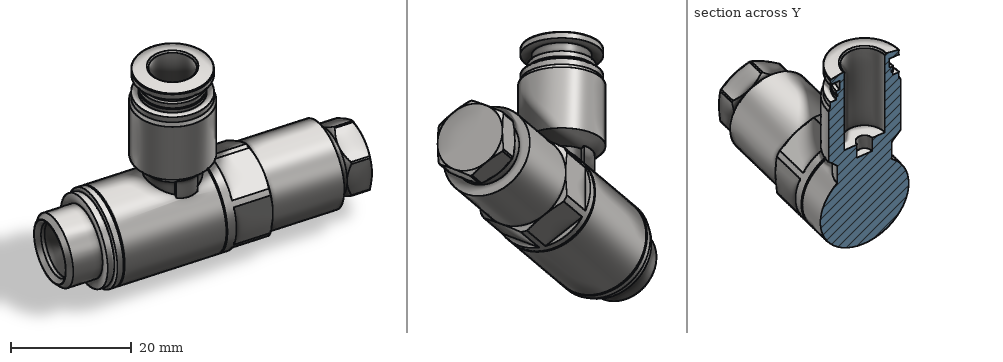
import cadquery as cq
import math


thread_dia = 13.15
thread_tip_dia = 11.4
collar_dia = 16.8
body_dia = 17.8
body_rim_dia = 17.7
seam_dia = 17.45
barrel_dia = 16.0
ring_groove_dia = barrel_dia
neck_dia = 12.0

thread_chamfer_end = 0.9
thread_end = 6.4
collar_round_start = 7.25
ring_start = 7.95
ring_end = 9.1
body_rim = 9.4
body_start = 9.6
body_seam = 28.6
seam_width = 0.2
body_end = 30.3
large_hex_end = 37.6
barrel_end = 51.0
neck_end = 52.55
total_length = 57.25

large_hex_flats = 16.0
large_hex_corner_dia = body_dia
large_hex_chamfer = 0.45
small_hex_flats = 12.0
small_hex_corner_dia = 13.7
small_hex_front_chamfer = 0.8
small_hex_back_chamfer = 0.4

bore_mouth_dia = 11.15
bore_seat_dia = 9.8
bore_floor_dia = 5.7
bore_seat_depth = 0.9
bore_cone_depth = 1.6
bore_floor_depth = 3.7

stem_dia = 10.0
sleeve_dia = 14.55
shoulder_dia = 13.8
guide_dia = 11.4
guide_groove_dia = 10.9
button_neck_dia = stem_dia
button_dia = shoulder_dia
button_rim_dia = 13.55

total_height = 39.6
branch_y = 23.0
cone_start = 10.25
sleeve_start = 12.5
sleeve_end = 23.6
shoulder_start = 24.3
shoulder_end = 25.35
guide_groove_start = 26.05
guide_groove_end = 26.35
guide_end = 27.25
button_start = 29.1
button_edge = 30.1
button_rim = 30.3
branch_top = total_height - body_dia / 2

socket_mouth_dia = 8.6
socket_dia = 8.0
socket_mouth_depth = 0.3
socket_depth = 17.2
passage_dia = 3.0
passage_depth = 2.85

lug_dia = 11.0
lug_width = 4.0
lug_top = 11.45


def revolve_about_y(profile):
    """Revolve (diameter, y) points about the Y axis."""
    points = [(dia / 2, y) for dia, y in profile]
    return cq.Workplane("XY").polyline(points).close().revolve(360, (0, 0, 0), (0, 1, 0))


def revolve_about_branch(profile):
    """Revolve (diameter, z) points about the branch axis."""
    points = [(dia / 2, z) for dia, z in profile]
    solid = cq.Workplane("XZ").polyline(points).close().revolve(360, (0, 0, 0), (0, 1, 0))
    return solid.translate((0, branch_y, 0))


def hexagon(start, end, flats, corner_dia):
    """Hexagonal prism along Y with flats facing +X and -X and its corners turned down."""
    prism = (
        cq.Workplane("XZ", origin=(0, start, 0))
        .polygon(6, flats / math.cos(math.pi / 6))
        .extrude(start - end)
        .rotate((0, 0, 0), (0, 1, 0), 30)
    )
    envelope = revolve_about_y([(0, start), (corner_dia, start), (corner_dia, end), (0, end)])
    return prism.intersect(envelope)


def end_cone(end, inward, chamfer, flats, corner_dia):
    """Solid that bevels hexagon corners at one end; inward is +1 or -1 along Y."""
    return revolve_about_y([
        (flats, end),
        (corner_dia, end + inward * chamfer),
        (2 * corner_dia, end + inward * chamfer),
        (2 * corner_dia, end),
    ])


def collar_rounding():
    """Ring of material to remove so that the back corner of the collar is rounded."""
    radius = ring_start - collar_round_start
    collar_radius = collar_dia / 2
    arc_height = radius * math.sin(math.pi / 4)
    return (
        cq.Workplane("XY")
        .moveTo(collar_radius, collar_round_start)
        .threePointArc(
            (collar_radius - radius + arc_height, collar_round_start + arc_height),
            (collar_radius - radius, ring_start),
        )
        .lineTo(collar_radius, ring_start)
        .close()
        .revolve(360, (0, 0, 0), (0, 1, 0))
    )


def make_run():
    """Turned body from threaded end to neck, with both hexagons."""
    turned = revolve_about_y([
        (0, 0),
        (thread_tip_dia, 0),
        (thread_dia, thread_chamfer_end),
        (thread_dia, thread_end),
        (collar_dia, thread_end),
        (collar_dia, ring_start),
        (body_dia, ring_start),
        (body_dia, ring_end),
        (ring_groove_dia, ring_end),
        (ring_groove_dia, body_rim),
        (body_rim_dia, body_rim),
        (body_dia, body_start),
        (body_dia, body_seam - seam_width),
        (seam_dia, body_seam - seam_width),
        (seam_dia, body_seam),
        (body_dia, body_seam),
        (body_dia, body_end),
        (barrel_dia, body_end),
        (barrel_dia, barrel_end),
        (neck_dia, barrel_end),
        (neck_dia, neck_end),
        (0, neck_end),
    ])
    large_hex = hexagon(body_end, large_hex_end, large_hex_flats, large_hex_corner_dia)
    large_hex = large_hex.cut(
        end_cone(large_hex_end, -1, large_hex_chamfer, large_hex_flats, large_hex_corner_dia)
    )
    small_hex = hexagon(neck_end, total_length, small_hex_flats, small_hex_corner_dia)
    for end, inward, chamfer in (
        (neck_end, 1, small_hex_front_chamfer),
        (total_length, -1, small_hex_back_chamfer),
    ):
        small_hex = small_hex.cut(
            end_cone(end, inward, chamfer, small_hex_flats, small_hex_corner_dia)
        )
    return turned.cut(collar_rounding()).union(large_hex).union(small_hex)


def make_branch():
    """Stem, sleeve, guide and release button of the push-in fitting."""
    return revolve_about_branch([
        (0, 0),
        (stem_dia, 0),
        (stem_dia, cone_start),
        (sleeve_dia, sleeve_start),
        (sleeve_dia, sleeve_end),
        (shoulder_dia, shoulder_start),
        (shoulder_dia, shoulder_end),
        (guide_dia, shoulder_end),
        (guide_dia, guide_groove_start),
        (guide_groove_dia, guide_groove_start),
        (guide_groove_dia, guide_groove_end),
        (guide_dia, guide_groove_end),
        (guide_dia, guide_end),
        (button_neck_dia, guide_end),
        (button_neck_dia, button_start),
        (button_dia, button_start),
        (button_dia, button_edge),
        (button_rim_dia, button_rim),
        (socket_mouth_dia, branch_top),
        (0, branch_top),
    ])


def make_lugs():
    """Bar across the stem with rounded ends, showing as a lug on each side."""
    bar = cq.Workplane("XY").rect(2 * lug_dia, lug_width).extrude(lug_top)
    disc = cq.Workplane("XY").circle(lug_dia / 2).extrude(lug_top)
    return disc.intersect(bar).translate((0, branch_y, 0))


def front_bore():
    """Bore in the threaded end: tapered mouth, short seat, cone and flat floor."""
    return revolve_about_y([
        (0, 0),
        (bore_mouth_dia, 0),
        (bore_seat_dia, bore_seat_depth),
        (bore_seat_dia, bore_cone_depth),
        (bore_floor_dia, bore_floor_depth),
        (0, bore_floor_depth),
    ])


def tube_socket():
    """Blind tube socket with a bevelled mouth and a smaller passage in its floor."""
    socket_floor = branch_top - socket_depth
    passage_floor = socket_floor - passage_depth
    return revolve_about_branch([
        (0, passage_floor),
        (passage_dia, passage_floor),
        (passage_dia, socket_floor),
        (socket_dia, socket_floor),
        (socket_dia, branch_top - socket_mouth_depth),
        (socket_mouth_dia, branch_top),
        (0, branch_top),
    ])


part = make_run().union(make_branch()).union(make_lugs())
result = part.cut(front_bore()).cut(tube_socket())